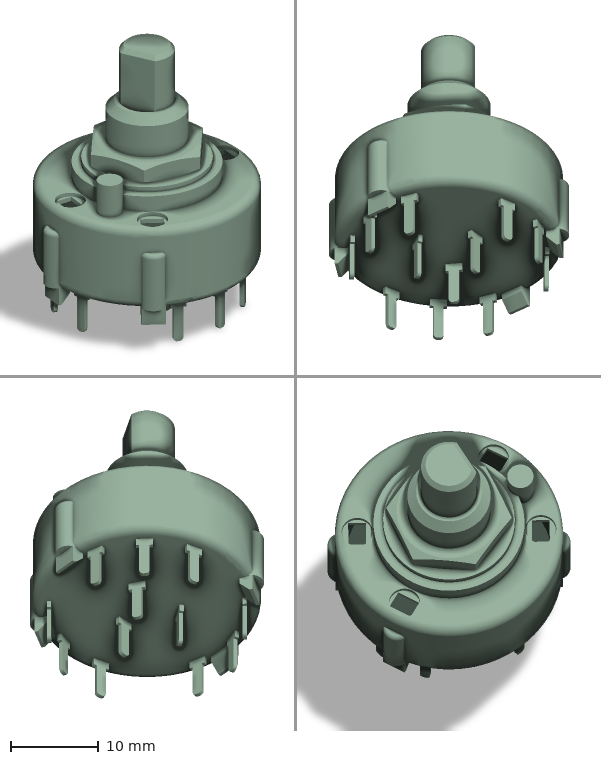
import cadquery as cq

foot_bottom_z = 3.25
shoulder_z = 4.32
housing_bottom_z = 5.25
rib_bottom_z = 5.43
rib_top_z = 12.55
housing_top_z = 15.5
collar_top_z = 17.5
washer_top_z = 18.1
key_pin_top_z = 19.55
nut_top_z = 20.5
bushing_top_z = 25.5
shaft_top_z = 32.5

housing_d = 26.0
wall = 1.0
edge_round = wall
bushing_chamfer = wall
collar_d = 17.22
bushing_d = 9.5
bore_d = 6.5
washer_recess_d = 15.15
washer_recess_depth = 0.2
key_pin_d = 3.0
key_pin_y = -9.5

snap_angles = [60, 120, 240, 300]
rib_d = 3.0
rib_pitch_r = 12.35
rib_round = 0.52
foot_outer_r = 12.97
foot_width = 2.83
foot_depth = 1.55
foot_tip_depth = 0.4
foot_slope_start_z = 4.5
window_pitch_r = 10.45
window_d = 3.55
window_recess_depth = 0.5
slot_length = 2.73
slot_width = 2.0

pole_angles = [90, 210, 330]
contact_offsets = [-15, 15, 45]
contact_r = 11.15
common_r = 3.85
terminal_width = 1.17
terminal_thickness = 0.5
terminal_tip_round = 0.45
shoulder_width = 1.95

shaft_d = 6.37
shaft_flat_y = -2.35
shaft_chamfer = 0.52
washer_d = 15.0
nut_corner_r = 7.18
nut_face_r = 5.98
nut_chamfer_height = 0.45
nut_turn = -6.0


def cylinder(diameter, bottom, top):
    return cq.Workplane("XY").workplane(offset=bottom).circle(diameter / 2).extrude(top - bottom)


def spin(shape, angle):
    return shape.rotate((0, 0, 0), (0, 0, 1), angle)


def make_rib():
    """Round snap rib, standing on the +X side."""
    rib = cylinder(rib_d, rib_bottom_z, rib_top_z).faces(">Z").edges().fillet(rib_round)
    return rib.translate((rib_pitch_r, 0, 0))


def make_foot():
    """Snap foot below a rib, sloped on its inner side, on the +X side."""
    inner_r = foot_outer_r - foot_depth
    profile = [
        (foot_outer_r, rib_bottom_z),
        (foot_outer_r, foot_bottom_z),
        (foot_outer_r - foot_tip_depth, foot_bottom_z),
        (inner_r, foot_slope_start_z),
        (inner_r, rib_bottom_z),
    ]
    return cq.Workplane("XZ").polyline(profile).close().extrude(foot_width / 2, both=True)


def make_window():
    """Round recess with a slot through the top wall, on the +X side."""
    recess = cylinder(window_d, housing_top_z - window_recess_depth, housing_top_z)
    slot = (
        cq.Workplane("XY")
        .workplane(offset=housing_top_z - wall)
        .rect(slot_width, slot_length)
        .extrude(wall)
    )
    return recess.union(slot).translate((window_pitch_r, 0, 0))


def make_terminal(radius):
    """Flat terminal with a wide shoulder and rounded tip corners, on the +X side."""
    root_z = housing_bottom_z + wall / 2
    blade = (
        cq.Workplane("XY")
        .box(terminal_thickness, terminal_width, root_z, centered=(True, True, False))
        .faces("<Z")
        .edges("|X")
        .fillet(terminal_tip_round)
    )
    shoulder = (
        cq.Workplane("XY")
        .workplane(offset=shoulder_z)
        .rect(terminal_thickness, shoulder_width)
        .extrude(root_z - shoulder_z)
    )
    return blade.union(shoulder).translate((radius, 0, 0))


def make_housing():
    housing = cylinder(housing_d, housing_bottom_z, housing_top_z).edges().fillet(edge_round)
    for angle in snap_angles:
        housing = housing.union(spin(make_rib(), angle)).union(spin(make_foot(), angle))

    cavity = cylinder(housing_d - 2 * wall, housing_bottom_z + wall, housing_top_z - wall)
    housing = housing.cut(cavity)

    bushing = cylinder(bushing_d, housing_top_z, bushing_top_z).faces(">Z").chamfer(bushing_chamfer)
    key_pin = cylinder(key_pin_d, housing_top_z, key_pin_top_z).translate((0, key_pin_y, 0))
    collar = cylinder(collar_d, housing_top_z, collar_top_z)
    collar = collar.cut(cylinder(washer_recess_d, collar_top_z - washer_recess_depth, collar_top_z))
    housing = housing.union(collar).union(bushing).union(key_pin)
    housing = housing.cut(cylinder(bore_d, housing_top_z, bushing_top_z))

    for angle in snap_angles:
        housing = housing.cut(spin(make_window(), angle))

    for pole in pole_angles:
        housing = housing.union(spin(make_terminal(common_r), pole))
        for offset in contact_offsets:
            housing = housing.union(spin(make_terminal(contact_r), pole + offset))
    return housing


def make_shaft():
    """Shaft with one flat, standing on the floor of the bushing bore."""
    shaft = cylinder(shaft_d, housing_top_z, shaft_top_z)
    flat_cut = (
        cq.Workplane("XY")
        .workplane(offset=housing_top_z)
        .center(0, shaft_flat_y - shaft_d / 2)
        .rect(shaft_d, shaft_d)
        .extrude(shaft_top_z - housing_top_z)
    )
    return shaft.cut(flat_cut).faces(">Z").chamfer(shaft_chamfer)


def make_washer():
    """Plain washer around the bushing, seated in the collar recess."""
    bottom = collar_top_z - washer_recess_depth
    return cylinder(washer_d, bottom, washer_top_z).cut(cylinder(bushing_d, bottom, washer_top_z))


def make_nut():
    """Hexagon nut with corners chamfered at both faces."""
    hexagon = (
        cq.Workplane("XY")
        .workplane(offset=washer_top_z)
        .polygon(6, 2 * nut_corner_r)
        .extrude(nut_top_z - washer_top_z)
    )
    bushing_r = bushing_d / 2
    ring_profile = [
        (bushing_r, washer_top_z),
        (nut_face_r, washer_top_z),
        (nut_corner_r, washer_top_z + nut_chamfer_height),
        (nut_corner_r, nut_top_z - nut_chamfer_height),
        (nut_face_r, nut_top_z),
        (bushing_r, nut_top_z),
    ]
    chamfered_ring = cq.Workplane("XZ").polyline(ring_profile).close().revolve(360, (0, 0, 0), (0, 1, 0))
    return spin(hexagon.intersect(chamfered_ring), nut_turn)


housing = make_housing()
shaft = make_shaft()
washer = make_washer()
nut = make_nut()

result = cq.Compound.makeCompound([housing.val(), shaft.val(), washer.val(), nut.val()])